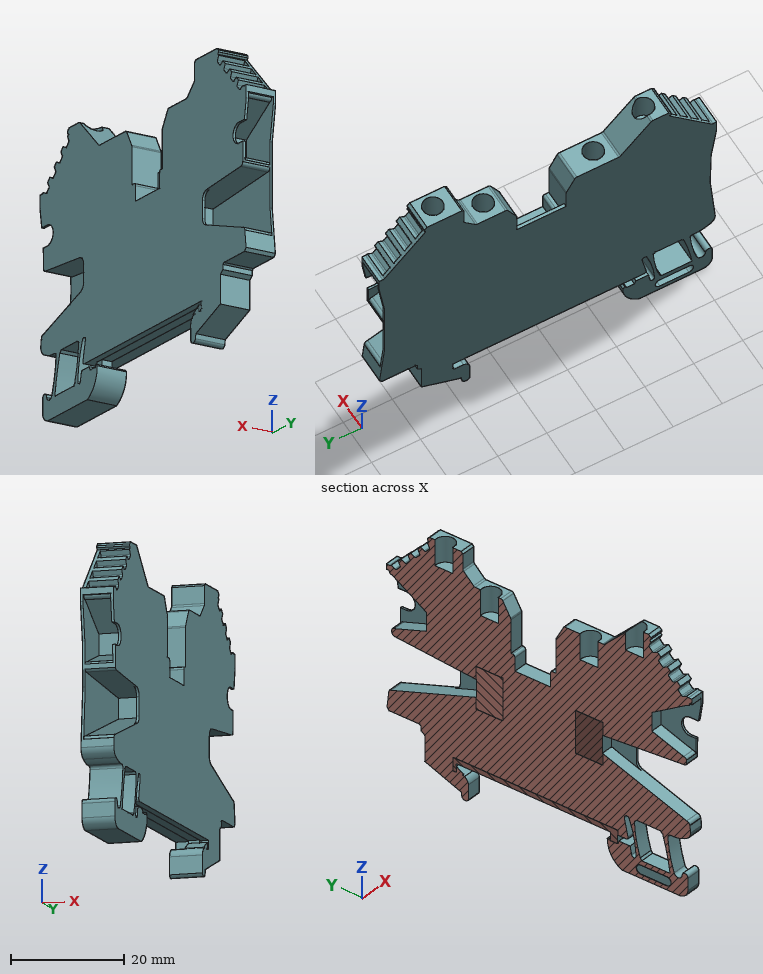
import cadquery as cq
import math

width = 6.1
half_length = 34.45
height = 52.8

shoulder_z = 43.1
step_z = 46.5
saddle_z = 39.05
belly_z = 12.0
rail_z = 7.0
slot_floor_z = 5.3
flank_y = 33.5
waist_y = 33.35

saddle_back_y = 6.35
saddle_front_y = -3.7

ledge_z = 35.8
back_ledge = 0.9
front_ledge = 1.25
ledge_radius = 0.55
pocket_floor_z = 32.4

skin = 0.5
rim = 0.7

corner_radius = 0.55
softened_corners = [
    (17.15, 49.0),
    (14.6, step_z),
    (8.35, step_z),
    (saddle_back_y, shoulder_z),
    (saddle_front_y, shoulder_z),
    (-5.6, step_z),
    (-14.7, step_z),
    (-21.2, height),
    (-29.0, belly_z),
    (flank_y, shoulder_z),
    (-flank_y, shoulder_z),
]

groove_count = 4
first_groove_z = 44.0
groove_pitch_z = 2.2
groove_mouth = 3.0
groove_floor = 2.0
groove_depth = 1.6
groove_radius = 0.3

shaft_diameter = 4.0
shaft_depth = 5.5
shaft_x = 3.45
outer_shaft_y = 21.5
inner_shaft_y = 11.2

entry_lip = 0.7
entry_start_y = -36.5
entry_floor_slope = 0.34
upper_top_mouth_y = -33.9
upper_bottom_mouth_y = -33.3
upper_back_y = -25.4
upper_top_z = 41.9
upper_bottom_z = 29.4
upper_ceiling_drop = 4.75
upper_notch_end_y = -30.0
upper_notch_bottom_z = 32.85
upper_notch_top_z = 36.8
lower_top_mouth_y = -33.3
lower_bottom_mouth_y = -33.95
lower_back_y = -14.25
lower_top_z = 29.0
lower_bottom_z = 16.0
lower_ceiling_drop = 1.45
side_window_end_y = -19.85
side_window_radius = 1.6

clamp_bottom_z = 20.65
clamp_top_z = 29.6

contact_x = 2.6
contact_width = 2.1
contact_bar_height = 1.0
hook_leg_back_y = 19.4
hook_leg_front_y = 18.7
foot_leg_back_y = -16.05
foot_leg_front_y = -17.6

foot_slot_back_y = -21.9
foot_slot_front_y = -29.7
foot_slot_bottom_z = 0.95
foot_slot_top_z = 2.8
foot_slot_depth = 3.1


def slab(outline, x_start, x_end):
    """Extrude a closed YZ outline between two X positions."""
    return outline.close().extrude(x_end - x_start).translate((x_start, 0, 0))


def yz(y, z):
    return cq.Workplane("YZ").moveTo(y, z)


def fillet_x_edge(body, y, z, radius):
    """Round the edge along X that passes through (y, z)."""
    edge = cq.selectors.BoxSelector((-0.7, y - 0.1, z - 0.1), (width + 0.7, y + 0.1, z + 0.1))
    return body.edges("|X").edges(edge).fillet(radius)


def mirrored(body):
    """The same shape at the opposite end of the block."""
    return body.mirror("XZ")


def housing_blank():
    outline = (
        yz(half_length, shoulder_z)
        .lineTo(flank_y, shoulder_z)
        .lineTo(24.95, 51.65)
        .lineTo(25.2, 52.0)
        .lineTo(25.2, 52.35)
        .lineTo(24.65, height)
        .lineTo(17.55, height)
        .lineTo(17.15, 52.4)
        .lineTo(17.15, 49.0)
        .lineTo(14.6, step_z)
        .lineTo(8.35, step_z)
        .lineTo(saddle_back_y, shoulder_z)
        .lineTo(saddle_back_y, saddle_z)
        .lineTo(saddle_front_y, saddle_z)
        .lineTo(saddle_front_y, shoulder_z)
        .lineTo(-5.6, step_z)
        .lineTo(-14.7, step_z)
        .lineTo(-21.2, height)
        .lineTo(-24.65, height)
        .lineTo(-25.2, 52.35)
        .lineTo(-25.2, 52.0)
        .lineTo(-24.95, 51.65)
        .lineTo(-flank_y, shoulder_z)
        .lineTo(-half_length, shoulder_z)
        .lineTo(-half_length, 40.65)
        .lineTo(-waist_y, 33.75)
        .lineTo(-33.1, 25.55)
        .lineTo(-34.15, 14.45)
        .threePointArc((-33.7, 13.2), (-32.7, 12.6))
        .threePointArc((-31.7, 12.2), (-30.45, belly_z))
        .lineTo(-29.0, belly_z)
        .threePointArc((-29.4, 8.4), (-30.45, 4.4))
        .threePointArc((-31.35, 3.8), (-32.2, 4.5))
        .threePointArc((-33.0, 5.3), (-33.55, 4.55))
        .lineTo(-33.55, 1.9)
        .threePointArc((-32.9, 0.55), (-31.6, 0))
        .lineTo(-18.6, 0)
        .threePointArc((-16.3, 1.9), (-15.3, 5.4))
        .lineTo(-15.7, 5.8)
        .lineTo(foot_leg_back_y, slot_floor_z)
        .lineTo(foot_leg_front_y, slot_floor_z)
        .lineTo(-18.0, 6.0)
        .lineTo(-20.5, 6.0)
        .lineTo(-20.9, 4.3)
        .threePointArc((-21.4, 3.85), (-21.8, 4.4))
        .threePointArc((-21.3, 8.05), (-20.25, 11.6))
        .threePointArc((-19.6, belly_z), (-19.2, 11.4))
        .lineTo(-20.05, 7.7)
        .threePointArc((-20.0, 7.2), (-19.55, rail_z))
        .lineTo(hook_leg_back_y, rail_z)
        .lineTo(hook_leg_back_y, 5.65)
        .lineTo(19.1, slot_floor_z)
        .lineTo(17.2, slot_floor_z)
        .threePointArc((16.3, 4.75), (15.9, 3.8))
        .lineTo(15.9, 0.55)
        .threePointArc((16.7, 0), (17.5, 0.55))
        .lineTo(17.6, 1.45)
        .lineTo(25.8, 4.55)
        .lineTo(25.8, 10.1)
        .lineTo(26.65, 10.75)
        .lineTo(26.65, 11.7)
        .lineTo(27.0, belly_z)
        .lineTo(33.9, belly_z)
        .lineTo(34.4, 12.6)
        .lineTo(waist_y, 21.35)
        .lineTo(waist_y, 33.75)
        .lineTo(half_length, 40.65)
    )
    blank = slab(outline, 0, width)
    for y, z in softened_corners:
        blank = fillet_x_edge(blank, y, z, corner_radius)
    return blank


def hook_nose():
    """Raised tip of the fixed hook, set back from the -X face."""
    outline = (
        yz(hook_leg_front_y, slot_floor_z)
        .lineTo(hook_leg_front_y, 6.55)
        .lineTo(16.7, slot_floor_z)
    )
    return slab(outline, contact_x, width)


def foot_window():
    """Opening between the two spring legs of the snap foot."""
    outline = (
        yz(-22.0, belly_z)
        .lineTo(-27.3, belly_z)
        .lineTo(-27.75, 11.5)
        .threePointArc((-28.7, 7.8), (-29.4, 3.9))
        .lineTo(-23.15, 3.9)
        .lineTo(-22.8, 4.4)
        .threePointArc((-21.9, 8.0), (-21.5, 11.6))
    )
    return slab(outline, 0, width)


def foot_slot():
    """Blind obround pocket in the snap foot."""
    length = foot_slot_back_y - foot_slot_front_y
    slot_height = foot_slot_top_z - foot_slot_bottom_z
    middle_y = (foot_slot_back_y + foot_slot_front_y) / 2
    middle_z = (foot_slot_bottom_z + foot_slot_top_z) / 2
    return (
        cq.Workplane("YZ")
        .center(middle_y, middle_z)
        .slot2D(length, slot_height)
        .extrude(foot_slot_depth)
    )


def saddle_pocket():
    """Recess in the central notch, narrowed by rounded ledges."""
    back_ledge_y = saddle_back_y - back_ledge
    front_ledge_y = saddle_front_y + front_ledge
    outline = (
        yz(saddle_back_y, shoulder_z)
        .lineTo(saddle_back_y, ledge_z)
        .lineTo(back_ledge_y, ledge_z)
        .lineTo(back_ledge_y, pocket_floor_z)
        .lineTo(front_ledge_y, pocket_floor_z)
        .lineTo(front_ledge_y, ledge_z)
        .lineTo(saddle_front_y, ledge_z)
        .lineTo(saddle_front_y, shoulder_z)
    )
    pocket = slab(outline, rim, width)
    for y in (back_ledge_y, front_ledge_y):
        pocket = fillet_x_edge(pocket, y, ledge_z, ledge_radius)
    return pocket


def grip_groove(index):
    """One drafted groove across the 45 degree flank of the front end."""
    z = first_groove_z + index * groove_pitch_z
    y = -flank_y + (z - shoulder_z)
    along = math.sqrt(0.2372)
    overcut = 0.4

    def point(offset, depth):
        return (y + along * (offset + depth), z + along * (offset - depth))

    mouth = groove_mouth / 2
    floor = groove_floor / 2
    outline = cq.Workplane("YZ").polyline(
        [
            point(-mouth, -overcut),
            point(mouth, -overcut),
            point(mouth, 0),
            point(floor, groove_depth),
            point(-floor, groove_depth),
            point(-mouth, 0),
        ]
    )
    groove = slab(outline, rim, width)
    for side in (-floor, floor):
        groove = fillet_x_edge(groove, *point(side, groove_depth), groove_radius)
    return groove


def shaft(y, top_z):
    return (
        cq.Workplane("XY", origin=(shaft_x, y, top_z - shaft_depth))
        .circle(shaft_diameter / 2)
        .extrude(height)
    )


def entry(x_end, top, bottom, back_y, ceiling_drop):
    """Wire entry in the front end: rounded lips at the mouth, then a floor and a ceiling that close in.

    top and bottom are the (y, z) corners where the entry meets the end face.
    """
    top_y, top_z = top
    bottom_y, bottom_z = bottom
    floor_y = bottom_y + entry_lip
    floor_z = bottom_z + entry_lip
    ceiling_y = top_y + entry_lip
    ceiling_z = top_z - entry_lip
    bulge = entry_lip * math.sqrt(0.5)
    outline = (
        yz(entry_start_y, bottom_z)
        .lineTo(bottom_y, bottom_z)
        .threePointArc((floor_y - bulge, bottom_z + bulge), (floor_y, floor_z))
        .lineTo(back_y, floor_z + entry_floor_slope * (back_y - floor_y))
        .lineTo(back_y, ceiling_z - ceiling_drop)
        .lineTo(ceiling_y, ceiling_z)
        .threePointArc((ceiling_y - bulge, top_z - bulge), (top_y, top_z))
        .lineTo(entry_start_y, top_z)
    )
    return slab(outline, skin, x_end)


def upper_entry():
    top = (upper_top_mouth_y, upper_top_z)
    bottom = (upper_bottom_mouth_y, upper_bottom_z)
    return entry(width - skin, top, bottom, upper_back_y, upper_ceiling_drop)


def upper_notch():
    """Round-ended notch in the +X wall of the upper wire entry."""
    radius = (upper_notch_top_z - upper_notch_bottom_z) / 2
    middle_z = upper_notch_bottom_z + radius
    arc_start_y = upper_notch_end_y - radius
    outline = (
        yz(entry_start_y, upper_notch_bottom_z)
        .lineTo(arc_start_y, upper_notch_bottom_z)
        .threePointArc((upper_notch_end_y, middle_z), (arc_start_y, upper_notch_top_z))
        .lineTo(entry_start_y, upper_notch_top_z)
    )
    return slab(outline, width - 2 * skin, width)


def lower_entry(x_end):
    top = (lower_top_mouth_y, lower_top_z)
    bottom = (lower_bottom_mouth_y, lower_bottom_z)
    return entry(x_end, top, bottom, lower_back_y, lower_ceiling_drop)


def lower_side_window():
    """Outer stretch of the lower wire entry, where the +X wall is cut away to a round-cornered end."""
    outer_stretch = (
        yz(entry_start_y, lower_bottom_z)
        .lineTo(side_window_end_y, lower_bottom_z)
        .lineTo(side_window_end_y, lower_top_z)
        .lineTo(entry_start_y, lower_top_z)
    )
    opening = lower_entry(width).intersect(slab(outer_stretch, 0, width))
    return opening.edges("|X and >Y").fillet(side_window_radius)


def wire_clamp():
    """Clamp block closing the inner end of the lower wire entry, centred under the inner shaft."""
    clamp_length = 2 * (-inner_shaft_y - lower_back_y)
    return (
        cq.Workplane("XY", origin=(width / 2, -inner_shaft_y, clamp_bottom_z))
        .rect(width - 2 * skin, clamp_length)
        .extrude(clamp_top_z - clamp_bottom_z)
    )


def rail_contact():
    """Flat bar above the rail seat with one leg at each edge of the rail."""
    bar_top_z = rail_z + contact_bar_height
    outline = (
        yz(hook_leg_back_y, slot_floor_z)
        .lineTo(hook_leg_back_y, bar_top_z)
        .lineTo(foot_leg_front_y, bar_top_z)
        .lineTo(foot_leg_front_y, slot_floor_z)
        .lineTo(foot_leg_back_y, slot_floor_z)
        .lineTo(foot_leg_back_y, rail_z)
        .lineTo(hook_leg_front_y, rail_z)
        .lineTo(hook_leg_front_y, slot_floor_z)
    )
    return slab(outline, contact_x, contact_x + contact_width)


front_clamp = wire_clamp()
clamps = [front_clamp, mirrored(front_clamp)]
contact = rail_contact()

housing = housing_blank().union(hook_nose())
housing = housing.cut(foot_window()).cut(foot_slot()).cut(saddle_pocket())

end_cuts = [upper_entry(), upper_notch(), lower_entry(width - skin), lower_side_window()]
end_cuts += [grip_groove(index) for index in range(groove_count)]
end_cuts += [shaft(-outer_shaft_y, height), shaft(-inner_shaft_y, step_z)]
for end_cut in end_cuts:
    housing = housing.cut(end_cut).cut(mirrored(end_cut))

for insert in [*clamps, contact]:
    housing = housing.cut(insert)

result = cq.Compound.makeCompound([housing.val(), contact.val(), *[clamp.val() for clamp in clamps]])